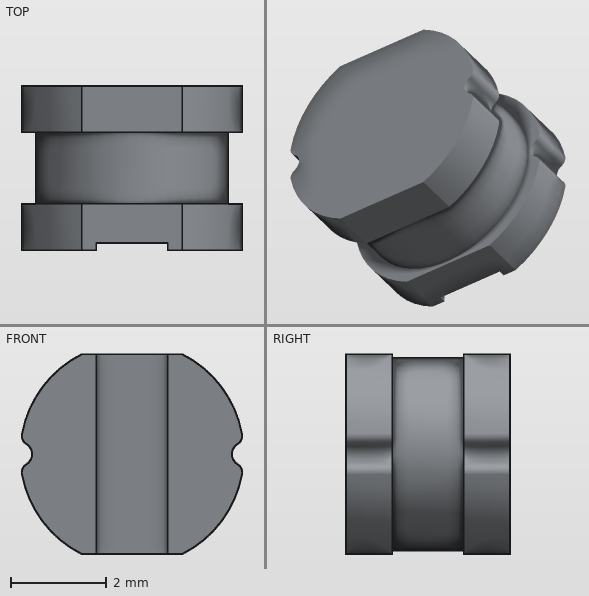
import cadquery as cq

total_length = 3.45
winding_length = 1.5
flange_radius = 2.35
flange_height = 4.2
post_radius = 2.025
notch_radius = 0.25
notch_lip_radius = 0.2
slot_width = 1.5
slot_depth = 0.15

flange_thickness = (total_length - winding_length) / 2
front_face_y = -total_length / 2
flange_diameter = 2 * flange_radius


def cylinder_along_y(radius, start_y, length, x=0):
    """Cylinder running in +Y from start_y, with its axis at the given X and Z = 0."""
    return (
        cq.Workplane("XZ", origin=(x, start_y, 0))
        .circle(radius)
        .extrude(-length)
    )


def make_flange(start_y):
    """Disc with top and bottom flats and a rounded notch on each side."""
    flats = cq.Workplane("XY").box(flange_diameter, 2 * total_length, flange_height)
    flange = cylinder_along_y(flange_radius, start_y, flange_thickness).intersect(flats)
    for notch_x in (-flange_radius, flange_radius):
        flange = flange.cut(cylinder_along_y(notch_radius, start_y, flange_thickness, notch_x))

    lip_zone = cq.selectors.BoxSelector(
        (-flange_diameter, -total_length, -2 * notch_radius),
        (flange_diameter, total_length, 2 * notch_radius),
    )
    lips = cq.selectors.AndSelector(cq.selectors.ParallelDirSelector(cq.Vector(0, 1, 0)), lip_zone)
    return flange.edges(lips).fillet(notch_lip_radius)


def make_slot():
    """Full-height shallow slot in the front (-Y) face."""
    return cq.Workplane("XY", origin=(0, front_face_y + slot_depth / 2, 0)).box(
        slot_width, slot_depth, flange_height
    )


front_flange = make_flange(front_face_y)
rear_flange = make_flange(winding_length / 2)
post = cylinder_along_y(post_radius, -winding_length / 2, winding_length)

result = front_flange.union(post).union(rear_flange).cut(make_slot())